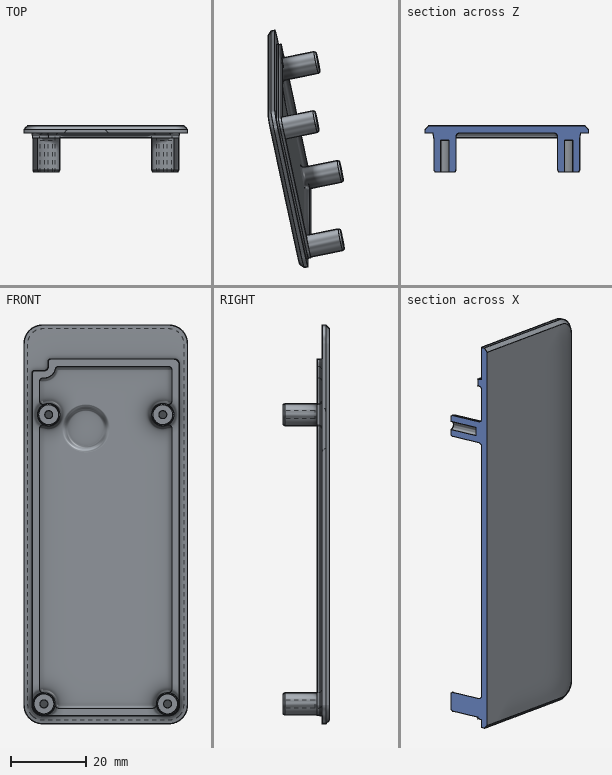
import cadquery as cq
import math

WIDTH = 43.5
HEIGHT = 106.0
DEPTH = 12.4
PLATE_THICKNESS = 2.0
PLATE_CORNER_RADIUS = 5.0
BACK_CHAMFER = 1.0

RIM_MARGIN = 2.2
RIM_TOP_MARGIN = 9.1
RIM_WIDTH = 1.9
RIM_HEIGHT = 1.3
RIM_BASE_HEIGHT = 0.5
RIM_BASE_STEP = 0.1
RIM_BOTTOM_RADIUS = 2.8
RIM_TOP_RADIUS = 1.4
POCKET_DEPTH = 1.3
POCKET_FILLET = 1.0

NOTCH_WIDTH = 4.2
NOTCH_HEIGHT = 3.1
NOTCH_OUTER_RADIUS = 0.6
NOTCH_INNER_RADIUS = 1.1

BOSS_RADIUS = 3.0
BOSS_TIP_CHAMFER_LENGTH = 0.5
BOSS_TIP_CHAMFER_WIDTH = 0.3
SCREW_HOLE_RADIUS = 1.1
SCREW_HOLE_DEPTH = 8.5
UPPER_BOSS_X = 15.2
UPPER_BOSS_BELOW_TOP = 23.8
LOWER_BOSS_X = 16.4
LOWER_BOSS_ABOVE_BOTTOM = 5.3

RECESS_X = -5.2
RECESS_BELOW_TOP = 27.6
RECESS_RADIUS = 5.5
RECESS_ARC_RADIUS = 1.0
RECESS_WALL_ANGLE = 60

RIM_RIGHT = WIDTH / 2 - RIM_MARGIN
RIM_LEFT = -RIM_RIGHT
RIM_TOP = HEIGHT / 2 - RIM_TOP_MARGIN
RIM_BOTTOM = RIM_MARGIN - HEIGHT / 2
RIM_FACE = PLATE_THICKNESS + RIM_HEIGHT
FLOOR_LEVEL = RIM_FACE - POCKET_DEPTH
RECESS_Z = HEIGHT / 2 - RECESS_BELOW_TOP
UPPER_BOSS_Z = HEIGHT / 2 - UPPER_BOSS_BELOW_TOP
LOWER_BOSS_Z = LOWER_BOSS_ABOVE_BOTTOM - HEIGHT / 2
BOSS_CENTRES = [
    (side * x, z)
    for x, z in [(UPPER_BOSS_X, UPPER_BOSS_Z), (LOWER_BOSS_X, LOWER_BOSS_Z)]
    for side in (-1, 1)
]


def front_plane(level):
    """XZ workplane at the given height above the back face, extruding towards -Y."""
    return cq.Workplane("XZ", origin=(0, -level, 0))


def make_plate():
    plate = front_plane(0).rect(WIDTH, HEIGHT).extrude(PLATE_THICKNESS)
    plate = plate.edges("|Y").fillet(PLATE_CORNER_RADIUS)
    return plate.faces(">Y").edges().chamfer(BACK_CHAMFER)


def round_corner(block, x, z, radius):
    """Fillet the edge along Y that passes closest to (x, z)."""
    middle_y = block.val().Center().y
    edge = cq.selectors.NearestToPointSelector((x, middle_y, z))
    return block.edges("|Y").edges(edge).fillet(radius)


def notched_block(level, thickness, inset=0.0):
    """Rim-shaped block with every side moved in by inset."""
    left, right = RIM_LEFT + inset, RIM_RIGHT - inset
    bottom, top = RIM_BOTTOM + inset, RIM_TOP - inset
    notch_x = RIM_LEFT + NOTCH_WIDTH + inset
    notch_z = RIM_TOP - NOTCH_HEIGHT - inset
    outline = [
        (left, bottom),
        (right, bottom),
        (right, top),
        (notch_x, top),
        (notch_x, notch_z),
        (left, notch_z),
    ]
    block = front_plane(level).polyline(outline).close().extrude(thickness)

    corner_radii = [
        (left, bottom, RIM_BOTTOM_RADIUS - inset),
        (right, bottom, RIM_BOTTOM_RADIUS - inset),
        (right, top, RIM_TOP_RADIUS - inset),
        (notch_x, top, NOTCH_OUTER_RADIUS - inset),
        (left, notch_z, NOTCH_OUTER_RADIUS - inset),
        (notch_x, notch_z, NOTCH_INNER_RADIUS + inset),
    ]
    for x, z, radius in corner_radii:
        if radius > 0:
            block = round_corner(block, x, z, radius)
    return block


def make_rim():
    """Rim with a slightly wider base layer against the plate."""
    base = notched_block(PLATE_THICKNESS, RIM_BASE_HEIGHT, inset=-RIM_BASE_STEP)
    upper = notched_block(PLATE_THICKNESS + RIM_BASE_HEIGHT, RIM_HEIGHT - RIM_BASE_HEIGHT)
    return base.union(upper)


def boss_cylinders(level, top_level, radius):
    return front_plane(level).pushPoints(BOSS_CENTRES).circle(radius).extrude(top_level - level)


def make_pocket():
    """Pocket volume around the bosses, rounded in its corners and along its floor."""
    pocket = notched_block(FLOOR_LEVEL, POCKET_DEPTH, inset=RIM_WIDTH)
    pocket = pocket.cut(boss_cylinders(FLOOR_LEVEL, RIM_FACE, BOSS_RADIUS))
    return pocket.edges("not <Y").fillet(POCKET_FILLET)


def make_bosses():
    bosses = boss_cylinders(FLOOR_LEVEL, DEPTH, BOSS_RADIUS)
    return bosses.faces("<Y").edges().chamfer(BOSS_TIP_CHAMFER_LENGTH, BOSS_TIP_CHAMFER_WIDTH)


def make_recess():
    """Round recess volume: a convex arc at its mouth runs into an equal concave arc at its floor."""
    angle = math.radians(RECESS_WALL_ANGLE)
    arc_width = RECESS_ARC_RADIUS * math.sin(angle)
    arc_height = RECESS_ARC_RADIUS * (1 - math.cos(angle))
    half_arc_width = RECESS_ARC_RADIUS * math.sin(angle / 2)
    half_arc_height = RECESS_ARC_RADIUS * (1 - math.cos(angle / 2))
    floor_radius = RECESS_RADIUS - arc_width
    mouth_radius = RECESS_RADIUS + arc_width
    depth = 2 * arc_height
    profile = (
        cq.Workplane("XY", origin=(RECESS_X, -FLOOR_LEVEL, RECESS_Z))
        .lineTo(mouth_radius, 0)
        .threePointArc((mouth_radius - half_arc_width, half_arc_height), (RECESS_RADIUS, arc_height))
        .threePointArc((floor_radius + half_arc_width, depth - half_arc_height), (floor_radius, depth))
        .lineTo(0, depth)
        .close()
    )
    return profile.revolve(360, (0, 0), (0, 1))


def make_screw_holes():
    return boss_cylinders(DEPTH - SCREW_HOLE_DEPTH, DEPTH, SCREW_HOLE_RADIUS)


result = (
    make_plate()
    .union(make_rim())
    .cut(make_pocket())
    .cut(make_recess())
    .union(make_bosses())
    .cut(make_screw_holes())
)